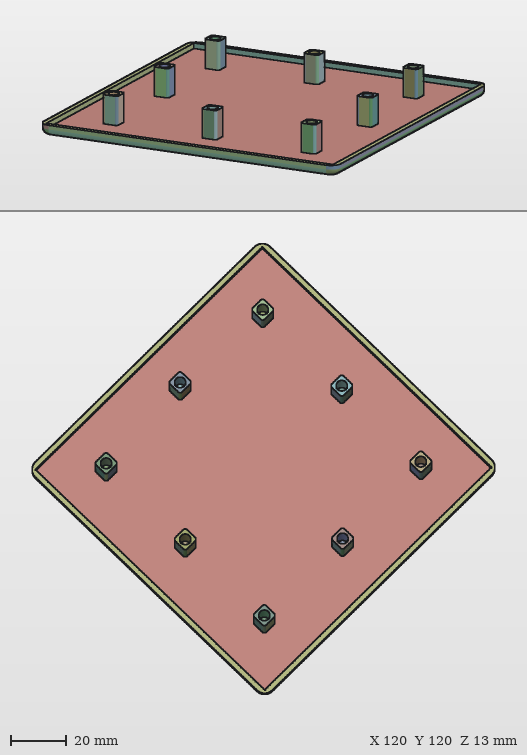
import cadquery as cq

tray_side = 120.0
tray_height = 4.1
floor_thickness = 2.0
rim_width = 2.0
corner_radius = 4.0
bottom_edge_radius = 2.5

overall_height = 13.0
post_side = 6.0
post_corner_radius = 1.0
post_bore_diameter = 4.0
post_pitch = tray_side / 3
shifted_post_offset = 2.2


def make_tray():
    """Shallow tray with a sharp-cornered recess and a rounded underside edge."""
    recess_side = tray_side - 2 * rim_width
    body = (
        cq.Workplane("XY")
        .rect(tray_side, tray_side)
        .extrude(tray_height)
        .edges("|Z")
        .fillet(corner_radius)
        .faces("<Z")
        .edges()
        .fillet(bottom_edge_radius)
    )
    recess = (
        cq.Workplane("XY")
        .workplane(offset=floor_thickness)
        .rect(recess_side, recess_side)
        .extrude(tray_height - floor_thickness)
    )
    return body.cut(recess)


def post_centres():
    """Three by three grid without its centre, with one post moved outward."""
    centres = []
    for column in (-1, 0, 1):
        for row in (-1, 0, 1):
            if column == 0 and row == 0:
                continue
            x = column * post_pitch
            if column == 1 and row == 0:
                x += shifted_post_offset
            centres.append((x, row * post_pitch))
    return centres


def make_post(centre):
    """Square post with rounded corners, bored from its top down to the tray floor."""
    post_height = overall_height - floor_thickness
    base = cq.Workplane("XY").workplane(offset=floor_thickness).center(*centre)
    post = base.rect(post_side, post_side).extrude(post_height).edges("|Z").fillet(post_corner_radius)
    bore = base.circle(post_bore_diameter / 2).extrude(post_height)
    return post.cut(bore)


result = make_tray()
for post_centre in post_centres():
    result = result.union(make_post(post_centre))